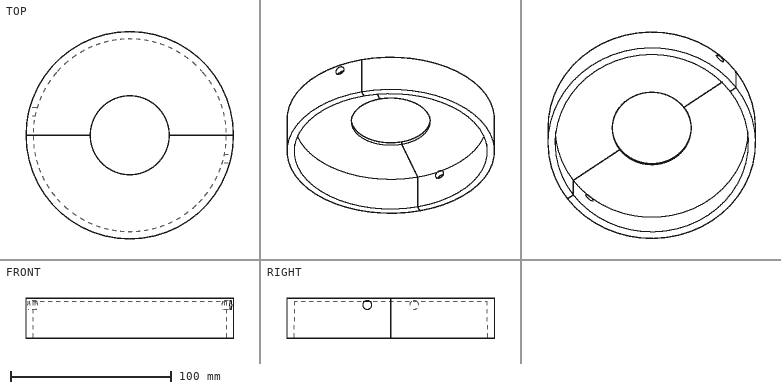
import cadquery as cq

outer_diameter = 129.0
bore_diameter = 49.0
height = 25.0
top_thickness = 2.0
wall_thickness = 4.5
split_gap = 0.2
side_hole_diameter = 5.5
side_hole_offset = 14.5
side_hole_depth_below_top = 4.25
half_count = 2

outer_radius = outer_diameter / 2
bore_radius = bore_diameter / 2
side_hole_radius = side_hole_diameter / 2
cavity_radius = outer_radius - wall_thickness
cavity_height = height - top_thickness
split_face_y = split_gap / 2
side_hole_y = split_face_y + side_hole_offset
side_hole_z = height - side_hole_depth_below_top
turn_per_half = 360 / half_count


def upright_cylinder(radius, length):
    """Cylinder about the Z axis, standing on the XY plane."""
    return cq.Workplane("XY").circle(radius).extrude(length)


def full_cover():
    """Round cover, open underneath, with a central bore through its top plate."""
    disc = upright_cylinder(outer_radius, height)
    cavity = upright_cylinder(cavity_radius, cavity_height)
    bore = upright_cylinder(bore_radius, height)
    return disc.cut(cavity).cut(bore)


def half_block():
    """Block that encloses the +Y half of the cover, starting at its split face."""
    block = cq.Workplane("XY").box(outer_diameter, outer_radius, height, centered=(True, False, False))
    return block.translate((0, split_face_y, 0))


def side_hole():
    """Drill along X that goes through the outer wall on the -X side and stops at the cavity."""
    hole_start = cq.Workplane("YZ", origin=(-outer_radius, side_hole_y, side_hole_z))
    drill = hole_start.circle(side_hole_radius).extrude(outer_radius)
    return drill.cut(upright_cylinder(cavity_radius, height))


def half_cover(angle):
    """One half of the cover, turned about the Z axis by the given angle in degrees."""
    half = full_cover().intersect(half_block()).cut(side_hole())
    return half.rotate((0, 0, 0), (0, 0, 1), angle)


half_covers = [half_cover(index * turn_per_half) for index in range(half_count)]

result = cq.Compound.makeCompound([half.solids().val() for half in half_covers])